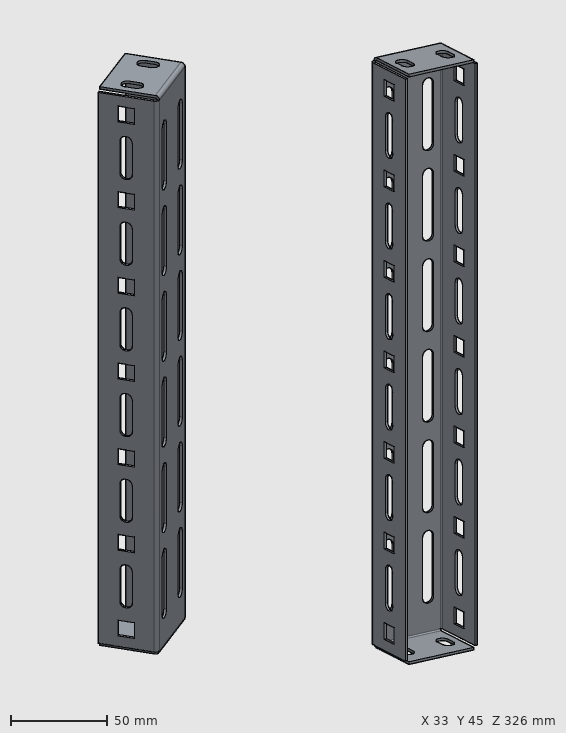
import cadquery as cq

depth_x = 33.0
width_y = 45.0
height_z = 326.0

sheet = 1.5
bend_radius = 2.3
channel_height = height_z - 2 * bend_radius
flap_width = width_y - 2 * bend_radius

bay_count = 6
perforated_length = 300.0
pitch = perforated_length / bay_count
slot_width = 7.0
side_slot_length = 25.0
web_slot_length = 40.0
flap_slot_length = 12.0
square_size = 9.0
slot_row_spacing = 25.0
hole_setback = 15.3

open_x = -depth_x / 2
hole_x = open_x + hole_setback

slot_heights = [(i - (bay_count - 1) / 2) * pitch for i in range(bay_count)]
square_heights = [(i - bay_count / 2) * pitch for i in range(bay_count + 1)]
row_offsets = (-slot_row_spacing / 2, slot_row_spacing / 2)


def folded_u(plane, span, length):
    """U of sheet, open toward -X, with legs `span` apart outside, extruded evenly both ways."""
    outer = (
        cq.Workplane(plane)
        .rect(depth_x, span)
        .extrude(length / 2, both=True)
    )
    fold_axis = "|Z" if plane == "XY" else "|Y"
    outer = outer.edges(fold_axis).edges(">X").fillet(bend_radius)
    inner = (
        cq.Workplane(plane)
        .center(-sheet, 0)
        .rect(depth_x, span - 2 * sheet)
        .extrude(length / 2, both=True)
    )
    inner = inner.edges(fold_axis).edges(">X").fillet(bend_radius - sheet)
    return outer.cut(inner)


def side_holes():
    """Alternating square holes and upright slots through both side walls."""
    squares = (
        cq.Workplane("XZ")
        .pushPoints([(hole_x, z) for z in square_heights])
        .rect(square_size, square_size)
        .extrude(width_y, both=True)
    )
    slots = (
        cq.Workplane("XZ")
        .pushPoints([(hole_x, z) for z in slot_heights])
        .slot2D(side_slot_length, slot_width, 90)
        .extrude(width_y, both=True)
    )
    return squares.union(slots)


def web_slots():
    """Two rows of long upright slots through the web."""
    return (
        cq.Workplane("YZ")
        .pushPoints([(y, z) for y in row_offsets for z in slot_heights])
        .slot2D(web_slot_length, slot_width, 90)
        .extrude(depth_x)
    )


def flap_slots():
    """Two short slots through each end flap."""
    return (
        cq.Workplane("XY")
        .pushPoints([(hole_x, y) for y in row_offsets])
        .slot2D(flap_slot_length, slot_width)
        .extrude(height_z, both=True)
    )


channel = folded_u("XY", width_y, channel_height)
end_flaps = folded_u("XZ", height_z, flap_width)

result = (
    channel.union(end_flaps)
    .cut(side_holes())
    .cut(web_slots())
    .cut(flap_slots())
)